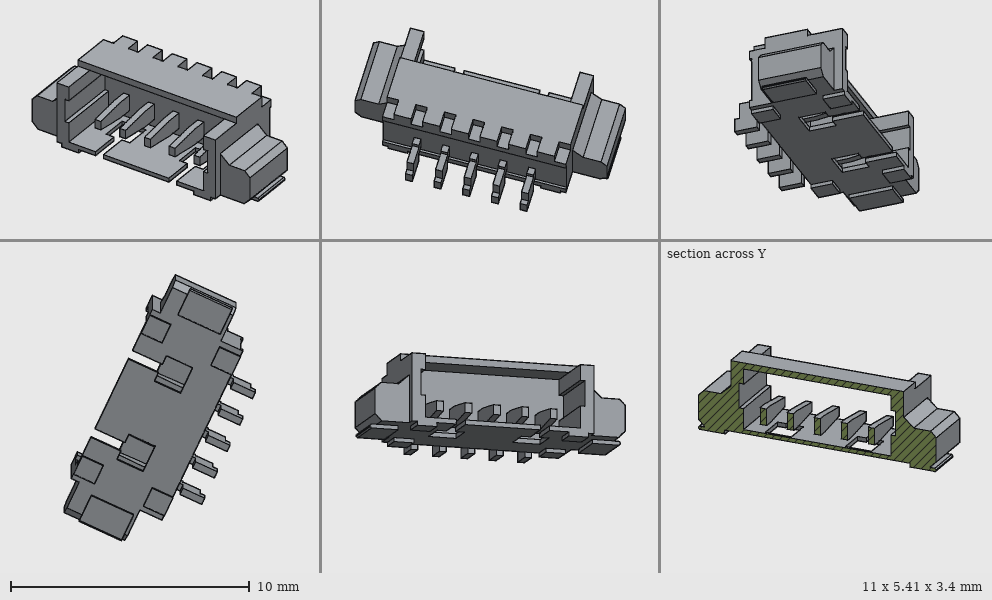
import cadquery as cq


SHELL_WIDTH = 8.0
SHELL_DEPTH = 4.2
BASE_Z = 0.17
WALL_TOP_Z = 3.1
ROOF_TOP_Z = 3.4
ROOF_FRONT_Y = 1.58
SIDE_WALL = 0.6
FLOOR_THICKNESS = 0.2
REAR_WALL = 1.2

GROOVE_DEPTH = 0.2
GROOVE_BOTTOM_Z = 1.32
GROOVE_TOP_Z = 2.42

CONTACT_COUNT = 5
PITCH = 1.25
CONTACT_WIDTH = 0.3
TIP_Y = 0.85
TAPER_START_Y = 2.32
BLADE_BOTTOM_Z = 0.72
BLADE_TOP_Z = 1.49
TIP_TAPER = 0.175
TAIL_INNER = 0.2
TAIL_STEP = 1.0
TAIL_LENGTH = 1.21
TAIL_SHOULDER_Z = 1.3
TAIL_FOOT_Z = 0.6

SLOT_X = 1.85
SLOT_WIDTH = 0.4
WINDOW_FRONT_Y = 1.39
WINDOW_BACK_Y = 2.6
WINDOW_WIDTH = 1.2

NOTCH_WIDTH = 0.5
NOTCH_DEPTH = 0.7
NOTCH_HEIGHT = 0.5
RECESS_DEPTH = 0.1
RECESS_BOTTOM_Z = 0.51
RECESS_TOP_Z = 2.53

FOOT_INSET = 0.24
FOOT_WIDTH = 0.86
FOOT_LENGTH = 0.97

OVERALL_WIDTH = 11.0
WING_FRONT_Y = 0.37
WING_LENGTH = 2.81
WING_TOP_Z = 1.82
WING_ROOT_Z = 2.23
WING_WEB = 0.46
WING_TOP_CHAMFER = 0.26
WING_BOTTOM_CHAMFER = 0.29
PAD_WIDTH = 1.23
PAD_LENGTH = 1.96
PAD_FRONT_Y = 1.06
PAD_EDGE_CHAMFER = 0.06

SHELL_SIDE_X = SHELL_WIDTH / 2
WING_END_X = OVERALL_WIDTH / 2
CAVITY_WIDTH = SHELL_WIDTH - 2 * SIDE_WALL
CAVITY_BACK_Y = SHELL_DEPTH - REAR_WALL
FLOOR_Z = BASE_Z + FLOOR_THICKNESS
CONTACT_XS = [(i - (CONTACT_COUNT - 1) / 2) * PITCH for i in range(CONTACT_COUNT)]


def block(x_mid, width, y0, y1, z0, z1):
    """Box centred on x_mid, between the given Y and Z limits."""
    box = cq.Workplane("XY").box(width, y1 - y0, z1 - z0, centered=(True, False, False))
    return box.translate((x_mid, y0, z0))


def make_shell():
    """Open-fronted box whose roof stops short of the mouth."""
    body = block(0, SHELL_WIDTH, 0, SHELL_DEPTH, BASE_Z, WALL_TOP_Z)
    roof = block(0, SHELL_WIDTH, ROOF_FRONT_Y, SHELL_DEPTH, WALL_TOP_Z, ROOF_TOP_Z)
    cavity = block(0, CAVITY_WIDTH, 0, CAVITY_BACK_Y, FLOOR_Z, WALL_TOP_Z)
    grooved_width = CAVITY_WIDTH + 2 * GROOVE_DEPTH
    grooves = block(0, grooved_width, 0, CAVITY_BACK_Y, GROOVE_BOTTOM_Z, GROOVE_TOP_Z)
    return body.union(roof).cut(cavity).cut(grooves)


def cut_floor(shell):
    for x in (-SLOT_X, SLOT_X):
        shell = shell.cut(block(x, SLOT_WIDTH, 0, WINDOW_FRONT_Y, BASE_Z, FLOOR_Z))
        shell = shell.cut(block(x, WINDOW_WIDTH, WINDOW_FRONT_Y, WINDOW_BACK_Y, BASE_Z, FLOOR_Z))
    return shell


def cut_rear(shell):
    """Notch the rear roof edge over each contact and at both ends, and recess the rear face."""
    notch_front_y = SHELL_DEPTH - NOTCH_DEPTH
    notch_floor_z = ROOF_TOP_Z - NOTCH_HEIGHT
    end_notch_x = SHELL_SIDE_X - NOTCH_WIDTH / 2
    for x in CONTACT_XS + [-end_notch_x, end_notch_x]:
        shell = shell.cut(block(x, NOTCH_WIDTH, notch_front_y, SHELL_DEPTH, notch_floor_z, ROOF_TOP_Z))
    recess_y = SHELL_DEPTH - RECESS_DEPTH
    return shell.cut(block(0, SHELL_WIDTH, recess_y, SHELL_DEPTH, RECESS_BOTTOM_Z, RECESS_TOP_Z))


def make_right_foot_pair():
    x = SHELL_SIDE_X - FOOT_INSET - FOOT_WIDTH / 2
    front = block(x, FOOT_WIDTH, 0, FOOT_LENGTH, 0, BASE_Z)
    rear = block(x, FOOT_WIDTH, SHELL_DEPTH - FOOT_LENGTH, SHELL_DEPTH, 0, BASE_Z)
    return front.union(rear)


def make_right_wing():
    profile = [
        (SHELL_SIDE_X, BASE_Z),
        (WING_END_X - WING_BOTTOM_CHAMFER, BASE_Z),
        (WING_END_X, BASE_Z + WING_BOTTOM_CHAMFER),
        (WING_END_X, WING_TOP_Z - WING_TOP_CHAMFER),
        (WING_END_X - WING_TOP_CHAMFER, WING_TOP_Z),
        (SHELL_SIDE_X + WING_WEB, WING_TOP_Z),
        (SHELL_SIDE_X, WING_ROOT_Z),
    ]
    wing = cq.Workplane("XZ").polyline(profile).close().extrude(-WING_LENGTH)
    return wing.translate((0, WING_FRONT_Y, 0))


def make_right_pad():
    """Solder pad under the wing, bevelled along its outer edge."""
    pad = block(WING_END_X - PAD_WIDTH / 2, PAD_WIDTH, PAD_FRONT_Y, PAD_FRONT_Y + PAD_LENGTH, 0, BASE_Z)
    return pad.faces(">X").edges("|Y").chamfer(PAD_EDGE_CHAMFER)


def make_contact(x):
    """Tapered blade in the cavity, running through the rear wall to a stepped solder tail."""
    inner_y = SHELL_DEPTH + TAIL_INNER
    step_y = SHELL_DEPTH + TAIL_STEP
    end_y = SHELL_DEPTH + TAIL_LENGTH
    profile = [
        (TIP_Y, BLADE_BOTTOM_Z + TIP_TAPER),
        (TAPER_START_Y, BLADE_BOTTOM_Z),
        (inner_y, BLADE_BOTTOM_Z),
        (inner_y, 0),
        (end_y, 0),
        (end_y, TAIL_FOOT_Z),
        (step_y, TAIL_FOOT_Z),
        (step_y, TAIL_SHOULDER_Z),
        (inner_y, TAIL_SHOULDER_Z),
        (inner_y, BLADE_TOP_Z),
        (TAPER_START_Y, BLADE_TOP_Z),
        (TIP_Y, BLADE_TOP_Z - TIP_TAPER),
    ]
    contact = cq.Workplane("YZ").polyline(profile).close().extrude(CONTACT_WIDTH)
    return contact.translate((x - CONTACT_WIDTH / 2, 0, 0))


result = cut_rear(cut_floor(make_shell()))
for right_part in (make_right_foot_pair(), make_right_wing(), make_right_pad()):
    result = result.union(right_part).union(right_part.mirror("YZ"))
for contact_x in CONTACT_XS:
    result = result.union(make_contact(contact_x))